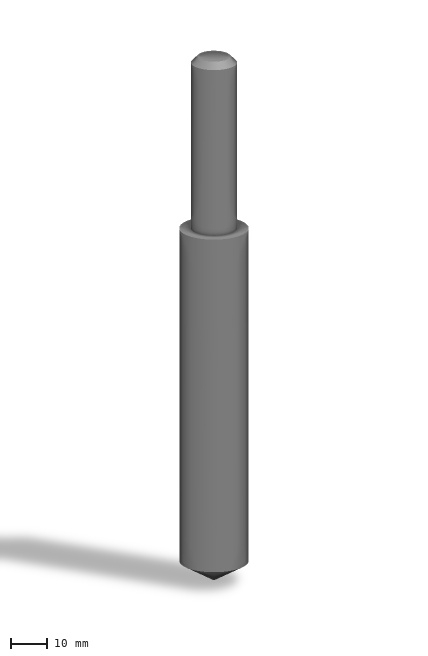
import cadquery as cq
import math

total_length = 152.4
body_diameter = 19.0
shank_diameter = 12.6
seam_height = 76.0
shoulder_height = 102.4
tip_slope_angle = 31.0
chamfer_size = 1.8

body_radius = body_diameter / 2
shank_radius = shank_diameter / 2
tip_height = body_radius * math.tan(math.radians(tip_slope_angle))


def make_head():
    """Cylindrical head with a conical point at its lower end."""
    profile = (
        cq.Workplane("XZ")
        .moveTo(0, 0)
        .lineTo(body_radius, tip_height)
        .lineTo(body_radius, seam_height)
        .lineTo(0, seam_height)
        .close()
    )
    return profile.revolve(360, (0, 0, 0), (0, 1, 0))


def make_shank():
    """Full-diameter collar resting on the head, with a chamfered shank above it."""
    profile = (
        cq.Workplane("XZ")
        .moveTo(0, seam_height)
        .lineTo(body_radius, seam_height)
        .lineTo(body_radius, shoulder_height)
        .lineTo(shank_radius, shoulder_height)
        .lineTo(shank_radius, total_length - chamfer_size)
        .lineTo(shank_radius - chamfer_size, total_length)
        .lineTo(0, total_length)
        .close()
    )
    return profile.revolve(360, (0, 0, 0), (0, 1, 0))


head = make_head()
shank = make_shank()

result = cq.Compound.makeCompound([head.val(), shank.val()])